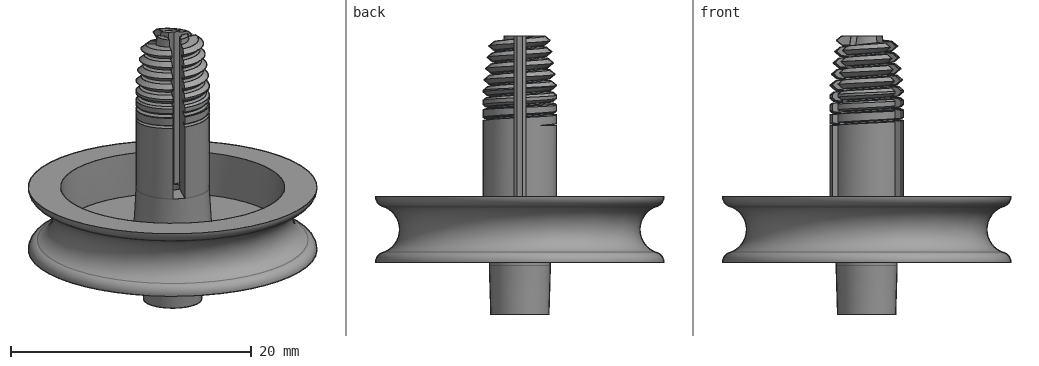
import cadquery as cq
import math

wheel_radius = 12.0
wheel_height = 5.5
throat_radius = 10.0
groove_edge_radius = 11.25
groove_half_height = 1.87

recess_depth = 3.67
recess_top_radius = 9.3
recess_floor_radius = 9.17

spigot_radius = 5.1 / 2
spigot_end_radius = 2.42
spigot_length = 4.32
spigot_straight_length = 0.26

stem_radius = 3.05
stem_foot_radius = 3.26
stem_rise = 13.35
core_top_radius = 1.3
bore_radius = 1.5 / 2

slot_count = 3
slot_width = 0.98
first_slot_angle = 90.0

thread_pitch = 0.94
thread_turns = 8
thread_end_drop = 0.38
thread_end_crest_radius = 2.52
thread_growth_per_turn = 0.137
flank_depth = 0.43
flank_half_height = 0.35
root_half_height = 0.43
thread_end_root_radius = 1.08
thread_start_angle = 180.0

recess_floor = wheel_height - recess_depth
stem_top = wheel_height + stem_rise
thread_length = thread_pitch * thread_turns
thread_end_level = stem_top - thread_end_drop
thread_start_level = thread_end_level - thread_length
shank_top = thread_start_level + root_half_height
core_bottom_radius = core_top_radius + (stem_top - shank_top) * thread_growth_per_turn / thread_pitch


def disc(radius, bottom, top):
    return cq.Workplane("XY").workplane(offset=bottom).circle(radius).extrude(top - bottom)


def make_wheel():
    """Wheel with a rounded rope groove and a drafted recess in its top."""
    middle = wheel_height / 2
    groove_bottom = (groove_edge_radius, middle - groove_half_height)
    groove_top = (groove_edge_radius, middle + groove_half_height)
    throat = (throat_radius, middle)

    lower_rim = cq.Edge.makeTangentArc(
        cq.Vector(wheel_radius, 0), cq.Vector(0, 1), cq.Vector(*groove_bottom)
    )
    rim_middle = lower_rim.positionAt(0.5)

    return (
        cq.Workplane("XZ")
        .lineTo(wheel_radius, 0)
        .threePointArc((rim_middle.x, rim_middle.y), groove_bottom)
        .threePointArc(throat, groove_top)
        .threePointArc((rim_middle.x, wheel_height - rim_middle.y), (wheel_radius, wheel_height))
        .lineTo(recess_top_radius, wheel_height)
        .lineTo(recess_floor_radius, recess_floor)
        .lineTo(0, recess_floor)
        .close()
        .revolve(360, (0, 0, 0), (0, 1, 0))
    )


def make_shaft():
    """Spigot, flared stem foot, plain shank and the tapered core under the thread."""
    return (
        cq.Workplane("XZ")
        .moveTo(0, -spigot_length)
        .lineTo(spigot_end_radius, -spigot_length)
        .lineTo(spigot_radius, -spigot_straight_length)
        .lineTo(spigot_radius, recess_floor)
        .lineTo(stem_foot_radius, recess_floor)
        .lineTo(stem_radius, wheel_height)
        .lineTo(stem_radius, shank_top)
        .lineTo(core_bottom_radius, shank_top)
        .lineTo(core_top_radius, stem_top)
        .lineTo(0, stem_top)
        .close()
        .revolve(360, (0, 0, 0), (0, 1, 0))
    )


def make_helix(end_radius, height_offset):
    """Helix up the thread, coiling on a cone that narrows to end_radius."""
    slope = math.atan2(thread_growth_per_turn, thread_pitch)
    slant = 1 / math.cos(slope)
    return cq.Wire.makeHelix(
        thread_pitch * slant,
        thread_length * slant,
        end_radius + thread_growth_per_turn * thread_turns,
        center=cq.Vector(0, 0, thread_start_level + height_offset),
        angle=-math.degrees(slope),
    )


def make_thread():
    """Coil with a pointed crest, bounded by the helices through its profile corners."""
    shoulder_radius = thread_end_crest_radius - flank_depth
    helices = [
        make_helix(thread_end_root_radius, -root_half_height),
        make_helix(shoulder_radius, -flank_half_height),
        make_helix(thread_end_crest_radius, 0),
        make_helix(shoulder_radius, flank_half_height),
        make_helix(thread_end_root_radius, root_half_height),
    ]
    neighbours = helices[1:] + helices[:1]
    faces = []
    for helix, neighbour in zip(helices, neighbours):
        faces.append(cq.Face.makeRuledSurface(helix.Edges()[0], neighbour.Edges()[0]))
    for end in (0, 1):
        corners = [helix.positionAt(end) for helix in helices]
        faces.append(cq.Face.makeFromWires(cq.Wire.makePolygon(corners, close=True)))
    coil = cq.Solid.makeSolid(cq.Shell.makeShell(faces))
    coil = cq.Workplane(coil).rotate((0, 0, 0), (0, 0, 1), thread_start_angle)

    return coil.intersect(disc(stem_radius, wheel_height, stem_top))


def make_slots():
    slots = cq.Workplane("XY")
    for index in range(slot_count):
        slot = (
            cq.Workplane("XY")
            .workplane(offset=wheel_height)
            .rect(stem_foot_radius, slot_width)
            .extrude(stem_rise)
            .translate((stem_foot_radius / 2, 0, 0))
            .rotate((0, 0, 0), (0, 0, 1), first_slot_angle + index * 360 / slot_count)
        )
        slots = slots.add(slot)
    return slots.combine()


bore = disc(bore_radius, -spigot_length, stem_top)
result = (
    make_wheel()
    .union(make_shaft())
    .union(make_thread())
    .cut(make_slots())
    .cut(bore)
)